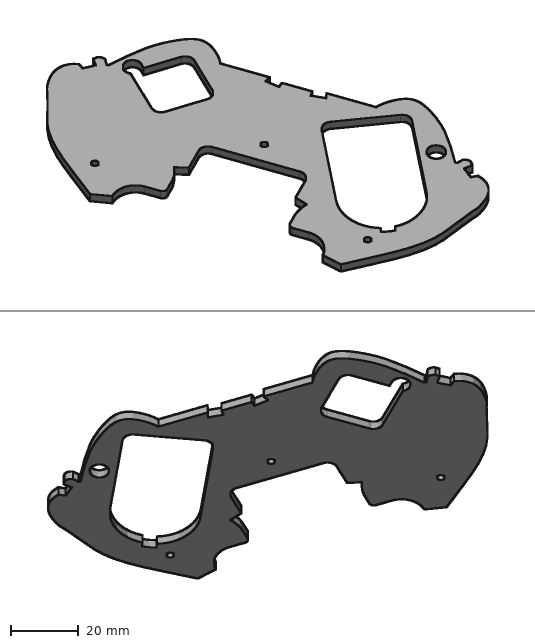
import cadquery as cq
import math

thickness = 3.0
half_width = 138.87 / 2
top_y = 34.05
bottom_y = top_y - 72.82

centre_edge_y = 26.2
shoulder_edge_y = 27.05
notch_inner_x = 4.85
notch_floor_start = (5.05, 24.35)
notch_floor_end = (9.6, 25.05)
notch_outer_x = 9.05
shoulder_end_x = 24.8

lobe_rise = (28.1, 31.2)
lobe_crest = (33.5, top_y)
flank_upper = (40.4, 31.4)
flank_middle = (47.5, 25.1)
flank_end = (55.25, 14.05)

hook_root = (55.9, 14.05)
hook_nose_start = (57.0, 15.9)
hook_nose_middle = (58.2, 16.3)
hook_nose_end = (59.6, 15.95)
hook_tip = (60.5, 14.85)
hook_throat = (58.75, 12.55)
hook_gap_floor = (61.9, 9.95)

side_start = (63.6, 11.25)
side_start_direction = (1, -0.3)
side_shoulder = (67.6, 8.9)
side_extreme = (half_width, 3.8)
side_lower = (68.6, -1.8)
sweep_start = (66.2, -7.4)
sweep_start_direction = (-0.36, -1)
sweep_upper = (61.6, -18.0)
sweep_lower = (51.86, -28.75)
bottom_tip = (40.0, bottom_y)
bottom_tip_direction = (-1, -0.87)

foot_x = 33.5
foot_y = -37.1
foot_radius = 7.35
foot_arc_centre = (foot_x - foot_radius, foot_y)
ledge_y = foot_arc_centre[1] + foot_radius
jaw_x = 19.55
jaw_corner_radius = 1.5
jaw_curve_start_y = -24.3
jaw_curve_middle = (20.0, -21.7)
jaw_tooth = (21.15, -18.9)

opening_half_width = 17.0
opening_side_end_y = -17.5
opening_top_y = -6.75
opening_corner_radius = 3.0

screw_hole_diameter = 2.2
screw_holes = [(0, 0), (-43.5, -26.1), (43.5, -26.1)]
post_hole_diameter = 5.7
post_hole_x = 48.45
post_hole_y = 16.0

square_centre = (-34.55, 13.6)
square_side = 19.5
square_corner_radius = 3.0
square_angle = 45
neck_length = 2.5

window_width = 27.0
window_end_radius = window_width / 2
window_end_centre = (40.35, -7.4)
window_straight_length = 33.3
window_corner_radius = 3.0
window_angle = 30
key_slot_width = 4.3
key_slot_reach = 15.1


def diagonal_point(centre, radius):
    """Middle of the quarter arc in the upper right of a circle."""
    offset = radius * math.sqrt(0.5)
    return (centre[0] + offset, centre[1] + offset)


def half_plate():
    """Right half of the plate, from the YZ plane outwards."""
    opening_fillet_centre = (
        opening_half_width - opening_corner_radius,
        opening_top_y - opening_corner_radius,
    )
    jaw_fillet_offset = jaw_corner_radius * (1 - math.sqrt(0.5))
    outline = (
        cq.Workplane("XY")
        .moveTo(0, centre_edge_y)
        .lineTo(notch_inner_x, centre_edge_y)
        .lineTo(*notch_floor_start)
        .lineTo(*notch_floor_end)
        .lineTo(notch_outer_x, shoulder_edge_y)
        .lineTo(shoulder_end_x, shoulder_edge_y)
        .spline(
            [lobe_rise, lobe_crest, flank_upper, flank_middle, flank_end],
            includeCurrent=True,
        )
        .lineTo(*hook_root)
        .lineTo(*hook_nose_start)
        .threePointArc(hook_nose_middle, hook_nose_end)
        .lineTo(*hook_tip)
        .lineTo(*hook_throat)
        .lineTo(*hook_gap_floor)
        .lineTo(*side_start)
        .spline(
            [side_shoulder, side_extreme, side_lower, sweep_start],
            tangents=[side_start_direction, sweep_start_direction],
            includeCurrent=True,
        )
        .spline(
            [sweep_upper, sweep_lower, bottom_tip],
            tangents=[sweep_start_direction, bottom_tip_direction],
            includeCurrent=True,
        )
        .lineTo(foot_x, foot_y)
        .threePointArc(
            diagonal_point(foot_arc_centre, foot_radius),
            (foot_arc_centre[0], ledge_y),
        )
        .lineTo(jaw_x + jaw_corner_radius, ledge_y)
        .threePointArc(
            (jaw_x + jaw_fillet_offset, ledge_y + jaw_fillet_offset),
            (jaw_x, ledge_y + jaw_corner_radius),
        )
        .lineTo(jaw_x, jaw_curve_start_y)
        .threePointArc(jaw_curve_middle, jaw_tooth)
        .lineTo(opening_half_width, opening_side_end_y)
        .lineTo(opening_half_width, opening_fillet_centre[1])
        .threePointArc(
            diagonal_point(opening_fillet_centre, opening_corner_radius),
            (opening_fillet_centre[0], opening_top_y),
        )
        .lineTo(0, opening_top_y)
        .close()
    )
    return outline.extrude(thickness)


def round_holes(centres, diameter):
    """Cutters for round through holes."""
    return cq.Workplane("XY").pushPoints(centres).circle(diameter / 2).extrude(thickness)


def square_window():
    """Cutter for the square window, with a neck from its left corner to the post hole."""
    square = (
        cq.Workplane("XY")
        .rect(square_side, square_side)
        .extrude(thickness)
        .edges("|Z and (>X or <Y)")
        .fillet(square_corner_radius)
        .rotate((0, 0, 0), (0, 0, 1), square_angle)
        .translate((*square_centre, 0))
    )
    neck_width = post_hole_diameter / 2
    neck = (
        cq.Workplane("XY")
        .rect(neck_width, neck_length, centered=False)
        .extrude(thickness)
        .translate((0, -neck_length, 0))
        .rotate((0, 0, 0), (0, 0, 1), square_angle)
        .translate((-post_hole_x, post_hole_y, 0))
    )
    return square.union(neck)


def round_ended_window():
    """Cutter for the round-ended window with a key slot at its round end."""
    straight_part = (
        cq.Workplane("XY")
        .rect(window_width, window_straight_length)
        .extrude(thickness)
        .translate((0, window_straight_length / 2, 0))
        .edges("|Z and >Y")
        .fillet(window_corner_radius)
    )
    round_end = cq.Workplane("XY").circle(window_end_radius).extrude(thickness)
    key_slot = (
        cq.Workplane("XY")
        .rect(key_slot_width, 2 * key_slot_reach)
        .extrude(thickness)
        .translate((0, -key_slot_reach, 0))
        .intersect(cq.Workplane("XY").circle(key_slot_reach).extrude(thickness))
    )
    return (
        straight_part.union(round_end)
        .union(key_slot)
        .rotate((0, 0, 0), (0, 0, 1), window_angle)
        .translate((*window_end_centre, 0))
    )


right_half = half_plate()
plate = right_half.union(right_half.mirror("YZ"))
post_holes = [(-post_hole_x, post_hole_y), (post_hole_x, post_hole_y)]

result = (
    plate.cut(round_holes(screw_holes, screw_hole_diameter))
    .cut(round_holes(post_holes, post_hole_diameter))
    .cut(square_window())
    .cut(round_ended_window())
)